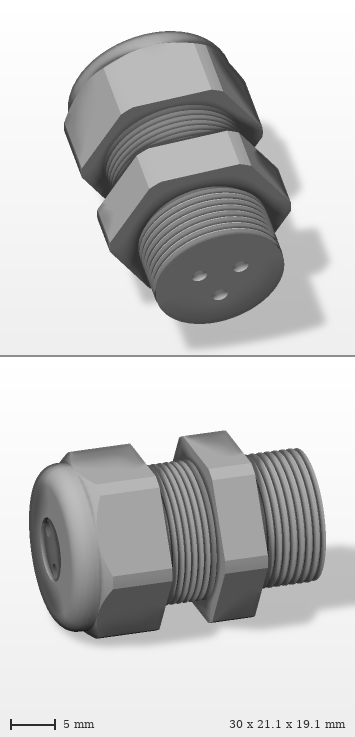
import cadquery as cq
import math


ACROSS_FLATS = 19.05
CORNER_DIAMETER = 21.14
FLAT_RADIUS = ACROSS_FLATS / 2
CORNER_RADIUS = CORNER_DIAMETER / 2

NOSE_LENGTH = 2.82
CAP_END = 10.87
COLLAR_START = 17.07
COLLAR_END = 22.12
TOTAL_LENGTH = 29.97

NOSE_FILLET = 2.05
CHAMFER_LENGTH = CORNER_RADIUS - FLAT_RADIUS

THREAD_HALF_ANGLE = math.radians(30)
CAP_THREAD_RADIUS = 7.96
CAP_THREAD_PITCH = 0.76
CAP_THREAD_CREST_WIDTH = 0
MOUNT_THREAD_RADIUS = 7.58
MOUNT_THREAD_PITCH = 0.89
MOUNT_THREAD_CREST_WIDTH = MOUNT_THREAD_PITCH / 8
MOUNT_FIRST_CREST = 22.95

NECK_RADIUS = 6.8
NECK_LENGTH = 0.14
NECK_CURVE_RADIUS = MOUNT_THREAD_RADIUS - NECK_RADIUS

INSERT_RADIUS = 3.95
RECESS_RADIUS = 3.65
RECESS_DEPTH = 0.5
WIRE_HOLE_RADIUS = 0.9
WIRE_HOLE_CIRCLE_RADIUS = 2.78
WIRE_HOLES = 3


def cylinder(radius, start, end):
    """Solid cylinder on the X axis."""
    return cq.Workplane("YZ", origin=(start, 0, 0)).circle(radius).extrude(end - start)


def revolve_about_axis(outline):
    """Turn a closed (X, radius) outline about the X axis."""
    return outline.close().revolve(360, (0, 0, 0), (1, 0, 0))


def hexagon(start, end):
    """Hexagonal prism with flats facing up and down and turned-down corners."""
    point_to_point = ACROSS_FLATS / math.cos(math.radians(30))
    prism = cq.Workplane("YZ", origin=(start, 0, 0)).polygon(6, point_to_point).extrude(end - start)
    return prism.intersect(cylinder(CORNER_RADIUS, start, end))


def threaded_shank(start, end, first_crest, crest_radius, pitch, crest_width):
    """Solid round shank from start to end carrying a row of V-grooved thread rings."""
    half_crest = crest_width / 2
    half_pitch = pitch / 2
    root_radius = crest_radius - (half_pitch - half_crest) / math.tan(THREAD_HALF_ANGLE)
    rings = math.ceil((end - first_crest) / pitch + 0.5)
    outline = cq.Workplane("XY").moveTo(first_crest - half_pitch, 0)
    for index in range(rings):
        crest = first_crest + index * pitch
        outline = outline.lineTo(crest - half_pitch, root_radius)
        outline = outline.lineTo(crest - half_crest, crest_radius)
        if crest_width > 0:
            outline = outline.lineTo(crest + half_crest, crest_radius)
    last_root = first_crest + rings * pitch - half_pitch
    outline = outline.lineTo(last_root, root_radius).lineTo(last_root, 0)
    thread = revolve_about_axis(outline)
    core = cylinder(root_radius, start, end)
    return core.union(thread).intersect(cylinder(crest_radius, start, end))


def make_cap():
    """Cap nut: hexagon with chamfered front corners behind a rounded nose."""
    envelope = revolve_about_axis(
        cq.Workplane("XY")
        .lineTo(0, FLAT_RADIUS - NOSE_FILLET)
        .radiusArc((NOSE_FILLET, FLAT_RADIUS), NOSE_FILLET)
        .lineTo(NOSE_LENGTH, FLAT_RADIUS)
        .lineTo(NOSE_LENGTH + CHAMFER_LENGTH, CORNER_RADIUS)
        .lineTo(CAP_END, CORNER_RADIUS)
        .lineTo(CAP_END, 0)
    )
    nose = cylinder(FLAT_RADIUS, 0, NOSE_LENGTH)
    return nose.union(hexagon(NOSE_LENGTH, CAP_END)).intersect(envelope)


def make_cap_thread():
    """Sharp-crested thread between the cap and the collar, with a crest at the cap's rear face."""
    return threaded_shank(
        CAP_END, COLLAR_START, CAP_END,
        CAP_THREAD_RADIUS, CAP_THREAD_PITCH, CAP_THREAD_CREST_WIDTH,
    )


def make_mount_thread():
    """Mounting thread with a neck that curves up into the first ring."""
    thread = threaded_shank(
        COLLAR_END, TOTAL_LENGTH, MOUNT_FIRST_CREST,
        MOUNT_THREAD_RADIUS, MOUNT_THREAD_PITCH, MOUNT_THREAD_CREST_WIDTH,
    )
    curve_start = COLLAR_END + NECK_LENGTH
    envelope = revolve_about_axis(
        cq.Workplane("XY")
        .moveTo(COLLAR_END, 0)
        .lineTo(COLLAR_END, NECK_RADIUS)
        .lineTo(curve_start, NECK_RADIUS)
        .radiusArc((curve_start + NECK_CURVE_RADIUS, MOUNT_THREAD_RADIUS), -NECK_CURVE_RADIUS)
        .lineTo(TOTAL_LENGTH, MOUNT_THREAD_RADIUS)
        .lineTo(TOTAL_LENGTH, 0)
    )
    return thread.intersect(envelope)


def make_housing():
    """Cap, collar and both threads in one piece, bored through for the insert."""
    collar = hexagon(COLLAR_START, COLLAR_END)
    body = make_cap().union(make_cap_thread()).union(collar).union(make_mount_thread())
    return body.cut(cylinder(INSERT_RADIUS, 0, TOTAL_LENGTH))


def make_insert():
    """Round plug with a shallow front recess and three wire holes along its length."""
    plug = cylinder(INSERT_RADIUS, 0, TOTAL_LENGTH)
    plug = plug.cut(cylinder(RECESS_RADIUS, 0, RECESS_DEPTH))
    for index in range(WIRE_HOLES):
        angle = math.radians(-90 + index * 360 / WIRE_HOLES)
        center = (
            0,
            WIRE_HOLE_CIRCLE_RADIUS * math.cos(angle),
            WIRE_HOLE_CIRCLE_RADIUS * math.sin(angle),
        )
        plug = plug.cut(cylinder(WIRE_HOLE_RADIUS, 0, TOTAL_LENGTH).translate(center))
    return plug


housing = make_housing().solids()
insert = make_insert().solids()

result = cq.Compound.makeCompound([housing.val(), insert.val()])